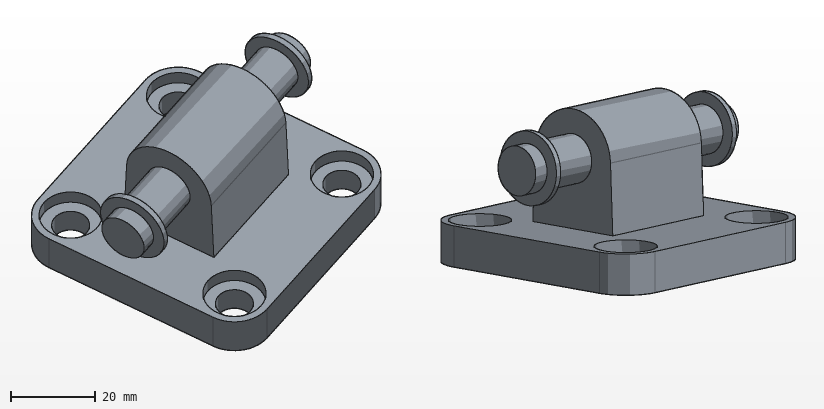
import cadquery as cq
import math

plate_side = 65.0
plate_thickness = 10.0
corner_radius = 9.3
hole_spacing = plate_side - 2 * corner_radius
hole_diameter = 9.0
counterbore_diameter = 15.0
counterbore_depth = 3.5

total_height = 39.0
crown_radius = 12.0
block_length = 32.25
block_base_width = 25.5
axis_height = total_height - crown_radius

pin_length = 72
pin_diameter = 12.0
ring_diameter = 18
ring_thickness = 1.5
ring_end_distance = 4.0


def make_plate():
    plate = (
        cq.Workplane("XY")
        .rect(plate_side, plate_side)
        .extrude(plate_thickness)
        .edges("|Z")
        .fillet(corner_radius)
    )
    return (
        plate.faces(">Z")
        .workplane()
        .rect(hole_spacing, hole_spacing, forConstruction=True)
        .vertices()
        .cboreHole(hole_diameter, counterbore_diameter, counterbore_depth)
    )


def make_block():
    base_half_width = block_base_width / 2
    rise = axis_height - plate_thickness
    base_to_axis = math.hypot(base_half_width, rise)
    tangent_angle = math.acos(crown_radius / base_to_axis) - math.atan2(rise, base_half_width)
    tangent_x = crown_radius * math.cos(tangent_angle)
    tangent_z = axis_height + crown_radius * math.sin(tangent_angle)
    return (
        cq.Workplane("XZ")
        .moveTo(-base_half_width, plate_thickness)
        .lineTo(base_half_width, plate_thickness)
        .lineTo(tangent_x, tangent_z)
        .threePointArc((0, total_height), (-tangent_x, tangent_z))
        .close()
        .extrude(block_length / 2, both=True)
    )


def make_disc(diameter, length, center_y):
    """Cylinder on the pin axis, centred at the given Y."""
    return (
        cq.Workplane("XZ", origin=(0, center_y + length / 2, axis_height))
        .circle(diameter / 2)
        .extrude(length)
    )


result = make_plate().union(make_block()).union(make_disc(pin_diameter, pin_length, 0))

ring_center = pin_length / 2 - ring_end_distance - ring_thickness / 2
for side in (-1, 1):
    result = result.union(make_disc(ring_diameter, ring_thickness, side * ring_center))